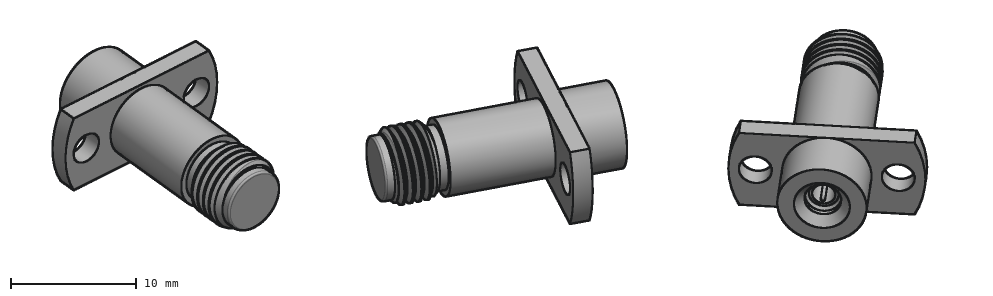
import cadquery as cq
import math


total_length = 19.81
flange_start = 4.2
flange_thickness = 1.63
barrel_end = 14.57
thread_start = 15.28
thread_end = 19.03
end_rounding = 0.17

socket_radius = 3.57
barrel_radius = 3.19
neck_radius = 2.66

flange_radius = 7.86
flange_height = 2 * socket_radius
mounting_hole_diameter = 2.62
mounting_hole_offset = 5.7

inch = 25.4
thread_radius = inch / 4 / 2
thread_pitch = inch / 36
thread_root_radius = 2.69
groove_half_angle = math.radians(30)
groove_start = 15.0
groove_overshoot = 0.05
thread_chamfer = thread_radius - neck_radius

mouth_radius = 2.23
wide_bore_radius = 1.46
lead_in_depth = 0.8
wide_bore_depth = 1.24
ledge_radius = 1.18
ledge_depth = wide_bore_depth + wide_bore_radius - ledge_radius
narrow_bore_radius = 0.93
narrow_bore_depth = flange_start

pin_radius = 0.18
pin_tip_x = 0.75
pin_tip_rounding = 0.12


def revolve_about_x(points):
    """Solid of revolution about X from an outline of (x, radius) points."""
    return cq.Workplane("XY").polyline(points).close().revolve(360, (0, 0, 0), (1, 0, 0))


def make_turned_body():
    """Socket, barrel, neck and rounded end, without flange, thread or bore."""
    body = revolve_about_x([
        (0, 0),
        (0, socket_radius),
        (flange_start, socket_radius),
        (flange_start, barrel_radius),
        (barrel_end, barrel_radius),
        (barrel_end, neck_radius),
        (total_length, neck_radius),
        (total_length, 0),
    ])
    return body.faces(">X").edges().fillet(end_rounding)


def make_flange():
    """Disc with its top and bottom cut flat, with two mounting holes."""
    flange_plane = cq.Workplane("YZ", origin=(flange_start, 0, 0))
    disc = flange_plane.circle(flange_radius).extrude(flange_thickness)
    bar = flange_plane.rect(2 * flange_radius, flange_height).extrude(flange_thickness)
    holes = (
        flange_plane
        .pushPoints([(-mounting_hole_offset, 0), (mounting_hole_offset, 0)])
        .circle(mounting_hole_diameter / 2)
        .extrude(flange_thickness)
    )
    return disc.intersect(bar).cut(holes)


def make_thread():
    """Sleeve with chamfered ends and a helical V groove cut into it."""
    sleeve = revolve_about_x([
        (thread_start, 0),
        (thread_start, neck_radius),
        (thread_start + thread_chamfer, thread_radius),
        (thread_end - thread_chamfer, thread_radius),
        (thread_end, neck_radius),
        (thread_end, 0),
    ])

    cutter_radius = thread_radius + groove_overshoot
    half_width = (cutter_radius - thread_root_radius) * math.tan(groove_half_angle)
    helix = cq.Wire.makeHelix(thread_pitch, thread_pitch, thread_root_radius)
    groove_turn = (
        cq.Workplane("XZ")
        .polyline([
            (thread_root_radius, 0),
            (cutter_radius, half_width),
            (cutter_radius, -half_width),
        ])
        .close()
        .sweep(cq.Workplane(obj=helix), isFrenet=True)
        .rotate((0, 0, 0), (0, 1, 0), 90)
        .translate((groove_start, 0, 0))
    )

    turn_count = math.ceil((thread_end - groove_start) / thread_pitch)
    threaded = sleeve
    for turn in range(turn_count):
        threaded = threaded.cut(groove_turn.translate((turn * thread_pitch, 0, 0)), clean=False)
    return threaded


def make_socket_bore():
    """Stepped blind bore of the socket."""
    return revolve_about_x([
        (0, 0),
        (0, mouth_radius),
        (lead_in_depth, wide_bore_radius),
        (wide_bore_depth, wide_bore_radius),
        (ledge_depth, ledge_radius),
        (ledge_depth, narrow_bore_radius),
        (narrow_bore_depth, narrow_bore_radius),
        (narrow_bore_depth, 0),
    ])


def make_housing():
    body = make_turned_body().union(make_flange()).union(make_thread())
    return body.cut(make_socket_bore())


def make_pin():
    """Contact pin with a rounded tip, standing on the floor of the bore."""
    pin_length = narrow_bore_depth - pin_tip_x
    blank = cq.Workplane("YZ", origin=(pin_tip_x, 0, 0)).circle(pin_radius).extrude(pin_length)
    return blank.faces("<X").edges().fillet(pin_tip_rounding)


housing = make_housing()
pin = make_pin()

result = cq.Compound.makeCompound([housing.val(), pin.val()])